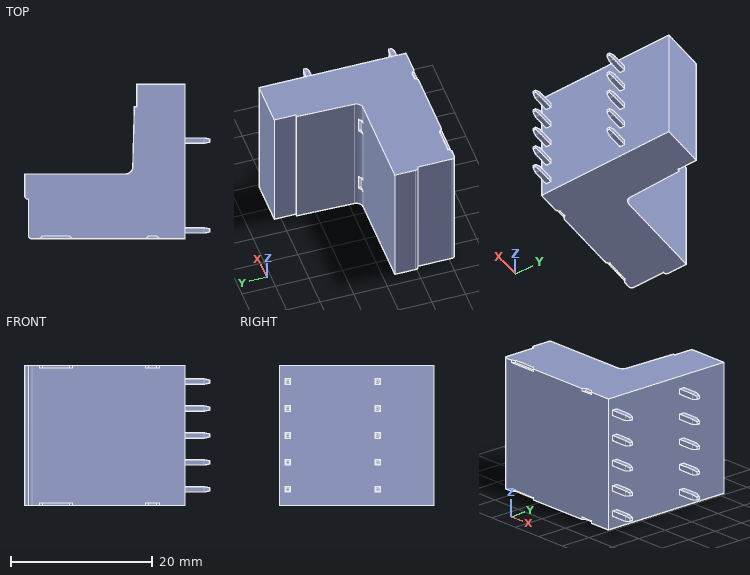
import cadquery as cq

height = 19.84
wall_height = 21.9
back_x = 22.7
foot_top = 9.2

nose_bottom = 5.6
nose_setback = 0.52
bottom_radius = 0.5

wall_root_x = 15.25
wall_step_x = 15.5
wall_top_x = 15.85
wall_step_y = 18.7
corner_radius = 1.0

corner_pocket_rise = 0.35
corner_pocket_height = 2.26

recess_depth = 0.42
recess_height = 0.35
recess_spans = [(2.1, 6.75), (17.1, 19.1)]

pitch = 3.81
pins_per_row = 5
row_positions = [1.2, 13.9]
pin_width = 0.8
pin_length = 3.5
tip_length = 0.8
tip_width = 0.45

corner_pocket_offset = 1.5 * pitch
mid_z = height / 2


def make_housing():
    """Extrude the L-shaped outline and round its corners."""
    body = (
        cq.Workplane("XY")
        .moveTo(nose_setback, 0)
        .lineTo(back_x, 0)
        .lineTo(back_x, wall_height)
        .lineTo(wall_top_x, wall_height)
        .lineTo(wall_top_x, wall_step_y)
        .lineTo(wall_step_x, wall_step_y)
        .lineTo(wall_root_x, foot_top)
        .lineTo(0, foot_top)
        .lineTo(0, nose_bottom + nose_setback)
        .radiusArc((nose_setback, nose_bottom), -nose_setback)
        .close()
        .extrude(height)
    )
    inner_corner = cq.selectors.NearestToPointSelector((wall_root_x, foot_top, mid_z))
    bottom_corner = cq.selectors.NearestToPointSelector((nose_setback, 0, mid_z))
    body = body.edges(inner_corner).fillet(corner_radius)
    return body.edges(bottom_corner).fillet(bottom_radius)


def make_corner_pocket(center_z):
    """Box that squares off a short stretch of the inner corner fillet."""
    return (
        cq.Workplane("XY", origin=(wall_root_x - corner_radius, foot_top, center_z))
        .box(corner_radius, corner_pocket_rise, corner_pocket_height, centered=(False, False, True))
    )


def make_recess(start_x, end_x, base_z):
    """Shallow trapezoid with 45-degree ends, open at the Y = 0 face."""
    return (
        cq.Workplane("XY", origin=(0, 0, base_z))
        .moveTo(start_x, 0)
        .lineTo(end_x, 0)
        .lineTo(end_x - recess_depth, recess_depth)
        .lineTo(start_x + recess_depth, recess_depth)
        .close()
        .extrude(recess_height)
    )


def make_pin(center_y, center_z):
    """Square pin along +X with a tapered tip."""
    shank_length = pin_length - tip_length
    shank = (
        cq.Workplane("YZ", origin=(back_x, center_y, center_z))
        .rect(pin_width, pin_width)
        .extrude(shank_length)
    )
    tip = (
        cq.Workplane("YZ", origin=(back_x + shank_length, center_y, center_z))
        .rect(pin_width, pin_width)
        .workplane(offset=tip_length)
        .rect(tip_width, tip_width)
        .loft(ruled=True)
    )
    return shank.union(tip)


result = make_housing()

for side in (-1, 1):
    result = result.cut(make_corner_pocket(mid_z + side * corner_pocket_offset))

for start_x, end_x in recess_spans:
    for base_z in (0, height - recess_height):
        result = result.cut(make_recess(start_x, end_x, base_z))

for row_y in row_positions:
    for index in range(pins_per_row):
        pin_z = mid_z + (index - (pins_per_row - 1) / 2) * pitch
        result = result.union(make_pin(row_y, pin_z))